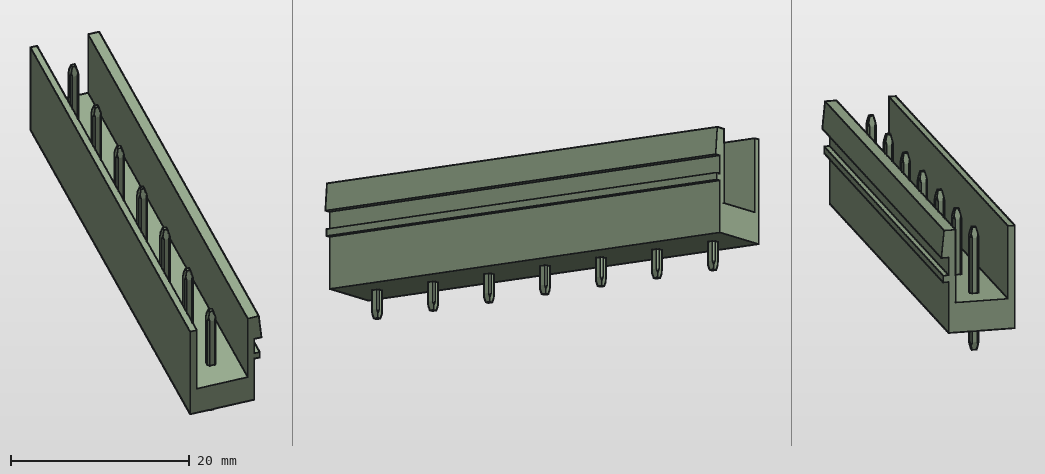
import cadquery as cq

LENGTH = 53.15
BODY_DEPTH = 7.65
BODY_HEIGHT = 12.0
WALL = 0.8
FLOOR = 3.5

LIP_REACH = 0.85
LIP_TOP_REACH = 0.55
LIP_HEIGHT = 3.2

RIB_REACH = 0.65
RIB_HEIGHT = 0.8
RIB_BOTTOM = 5.95

PIN_COUNT = 7
PIN_SPAN = 45.7
PIN_PITCH = PIN_SPAN / (PIN_COUNT - 1)
FIRST_PIN_X = 3.6
PIN_Y = BODY_DEPTH / 2
PIN_WIDTH = 1.0
PIN_EDGE_BEVEL = 0.2
PIN_BELOW = 3.2
PIN_TOP_GAP = 0.9
PIN_LENGTH = PIN_BELOW + BODY_HEIGHT - PIN_TOP_GAP
TOP_TIP_LENGTH = 1.15
TOP_TIP_WIDTH = 0.4
BOTTOM_TIP_LENGTH = 0.95
BOTTOM_TIP_WIDTH = 0.55


def make_pin(x):
    """One pin, standing at x, with a pyramid taper at both ends."""
    shaft = (
        cq.Workplane("XY")
        .box(PIN_WIDTH, PIN_WIDTH, PIN_LENGTH, centered=(True, True, False))
        .edges("|Z")
        .chamfer(PIN_EDGE_BEVEL)
    )
    middle_length = PIN_LENGTH - TOP_TIP_LENGTH - BOTTOM_TIP_LENGTH
    envelope = (
        cq.Workplane("XY")
        .rect(BOTTOM_TIP_WIDTH, BOTTOM_TIP_WIDTH)
        .workplane(offset=BOTTOM_TIP_LENGTH)
        .rect(PIN_WIDTH, PIN_WIDTH)
        .loft(ruled=True)
        .faces(">Z")
        .workplane()
        .rect(PIN_WIDTH, PIN_WIDTH)
        .extrude(middle_length)
        .faces(">Z")
        .workplane()
        .rect(PIN_WIDTH, PIN_WIDTH)
        .workplane(offset=TOP_TIP_LENGTH)
        .rect(TOP_TIP_WIDTH, TOP_TIP_WIDTH)
        .loft(ruled=True)
    )
    return shaft.intersect(envelope).translate((x, PIN_Y, -PIN_BELOW))


def make_housing(pins):
    """Channel with lip and rib, pierced by a matching hole for each pin."""
    lip_bottom = BODY_HEIGHT - LIP_HEIGHT
    rib_top = RIB_BOTTOM + RIB_HEIGHT
    profile = [
        (0, 0),
        (BODY_DEPTH, 0),
        (BODY_DEPTH, RIB_BOTTOM),
        (BODY_DEPTH + RIB_REACH, RIB_BOTTOM),
        (BODY_DEPTH + RIB_REACH, rib_top),
        (BODY_DEPTH, rib_top),
        (BODY_DEPTH, lip_bottom),
        (BODY_DEPTH + LIP_REACH, lip_bottom),
        (BODY_DEPTH + LIP_TOP_REACH, BODY_HEIGHT),
        (BODY_DEPTH - WALL, BODY_HEIGHT),
        (BODY_DEPTH - WALL, FLOOR),
        (WALL, FLOOR),
        (WALL, BODY_HEIGHT),
        (0, BODY_HEIGHT),
    ]
    housing = cq.Workplane("YZ").polyline(profile).close().extrude(LENGTH)
    for pin in pins:
        housing = housing.cut(pin)
    return housing


pins = [make_pin(FIRST_PIN_X + i * PIN_PITCH) for i in range(PIN_COUNT)]
housing = make_housing(pins)

result = cq.Compound.makeCompound([housing.val(), *[pin.val() for pin in pins]])